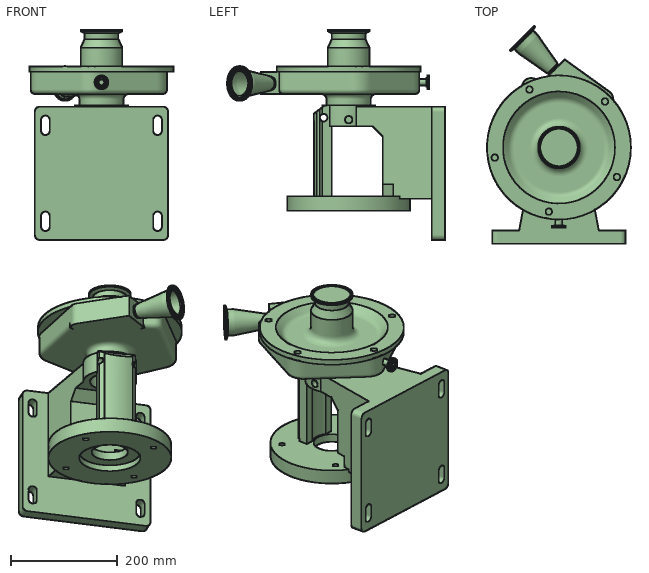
import cadquery as cq
import math


overall_length = 408.5

plate_size = 250.0
plate_outer_y = -180.5
plate_thickness = 25.5
plate_corner_radius = 10.0
slot_width = 16.0
slot_length = 36.0
slot_offset_x = 105.0
slot_offset_z = 90.0
plate_inner_y = plate_outer_y + plate_thickness

hub_radius = 50.0
hub_bottom_z = 212.8
hub_top_z = 252.0
bore_radius = 37.0
hub_hole_radius = 7.0
hub_hole_z = 225.5
leg_tube_radius = 61.0
leg_rib_radius = 65.5
leg_rib_half_width = 27.0
leg_front_y = 31.5
leg_half_width = 35.0
leg_chamfer_run = 20.0
leg_chamfer_drop = 15.5
leg_hole_y = 47.0
leg_hole_z = 229.0

motor_flange_radius = 115.0
motor_flange_bottom_z = 54.7
motor_flange_top_z = 82.5
motor_hole_radius = 34.0
motor_pilot_radius = 57.0
motor_pilot_depth = 12.0
motor_pilot_top_z = motor_flange_bottom_z + motor_pilot_depth
motor_bolt_circle_radius = 93.5
motor_bolt_radius = 5.5
motor_bolt_count = 4
motor_first_bolt_angle = 45.0

web_top_z = plate_size
web_bottom_z = 77.0
web_back_half_width = 74.7
web_front_half_width = 47.8
web_front_y = -14.0
web_window_y = -63.5
web_window_chamfer = 19.0
web_relief_height = 22.0
web_relief_depth = 19.5
web_relief_width = 32.5

body_bottom_z = 273.0
flange_bottom_z = 315.0
flange_top_z = 325.0
flange_diameter = 270.0
body_corner_count = 5
body_first_corner_angle = 45.0
body_side_distance = 114.7
body_corner_radius = 34.0
volute_corner_radius = 16.5
lip_corner_radius = 16.5
lip_extension = 6.5
body_bottom_fillet = 8.5
neck_radius = 41.5
neck_fillet = 9.5
flange_bolt_circle_radius = 121.5
flange_bolt_radius = 6.0

dish_top_radius = 105.0
dish_bottom_radius = 90.0
dish_depth = 15.0
dish_fillet = 14.0
dish_floor_z = flange_top_z - dish_depth
inlet_root_fillet = 15.0

inlet_radius = 39.0
inlet_throat_radius = 32.0
inlet_cone_bottom_z = 360.0
inlet_cone_top_z = 376.0
inlet_collar_bottom_z = 387.0
inlet_rim_bottom_z = 391.0
inlet_top_z = 394.0

discharge_angle = body_first_corner_angle + 90
discharge_offset = 96.0
discharge_z = 293.0
discharge_face_distance = 109.0
block_outer_offset = 124.0
block_inner_offset = 63.3
nozzle_cone_start = 3.5
nozzle_cone_end = 68.0
nozzle_neck_radius = 12.3
nozzle_small_radius = 13.5
nozzle_large_radius = 25.0
nozzle_rim_radius = 32.5
nozzle_rim_thickness = 2.0
nozzle_rim_taper = 2.5
nozzle_wall = 1.5
nozzle_reach_y = plate_outer_y + overall_length
nozzle_side_y = (discharge_offset + nozzle_rim_radius) * math.sin(math.radians(body_first_corner_angle))
nozzle_length = (
    (nozzle_reach_y - nozzle_side_y) / math.sin(math.radians(discharge_angle))
    - discharge_face_distance
)

groove_width = 3.0
groove_depth = 1.2
inlet_groove_radius = 36.5
nozzle_groove_radius = 28.0
drain_groove_radius = 10.2

drain_z = 295.2
drain_tip_y = -150.5
drain_rim_thickness = 3.5
drain_rim_radius = 13.0
drain_stem_radius = 6.5
drain_collar_radius = 8.5
drain_collar_length = 1.5
drain_bore_radius = 5.5
drain_bore_depth = 24.5


def polar(radius, angle):
    """Point in the XY plane from a radius and an angle in degrees."""
    return radius * math.cos(math.radians(angle)), radius * math.sin(math.radians(angle))


def cylinder(radius, bottom_z, top_z):
    """Upright cylinder on the pump axis."""
    return cq.Workplane("XY", origin=(0, 0, bottom_z)).circle(radius).extrude(top_z - bottom_z)


def x_bore(radius, y, z, start_x, end_x):
    """Round cutter along X."""
    return cq.Workplane("YZ", origin=(start_x, y, z)).circle(radius).extrude(end_x - start_x)


def mounting_plate():
    """Square plate with rounded corners and four upright slots."""
    plate = (
        cq.Workplane("XZ", origin=(0, plate_inner_y, plate_size / 2))
        .rect(plate_size, plate_size)
        .extrude(plate_thickness)
        .edges("|Y")
        .fillet(plate_corner_radius)
    )
    slots = (
        cq.Workplane("XZ", origin=(0, plate_inner_y, plate_size / 2))
        .rect(2 * slot_offset_x, 2 * slot_offset_z, forConstruction=True)
        .vertices()
        .slot2D(slot_length, slot_width, 90)
        .extrude(plate_thickness)
    )
    return plate.cut(slots)


def web():
    """Tapered web, cut away in front to open a window under the hub."""
    outline = (
        cq.Workplane("XY", origin=(0, 0, web_bottom_z))
        .polyline([
            (-web_back_half_width, plate_inner_y),
            (web_back_half_width, plate_inner_y),
            (web_front_half_width, web_front_y),
            (-web_front_half_width, web_front_y),
        ])
        .close()
        .extrude(web_top_z - web_bottom_z)
    )
    window = (
        cq.Workplane("YZ")
        .polyline([
            (web_window_y, web_bottom_z),
            (web_window_y, hub_bottom_z - web_window_chamfer),
            (web_window_y + web_window_chamfer, hub_bottom_z),
            (0, hub_bottom_z),
            (0, web_bottom_z),
        ])
        .close()
        .extrude(web_back_half_width, both=True)
    )
    side = web_back_half_width
    outer_y = web_window_y - web_relief_depth
    half_width_at_relief = web_front_half_width + (
        (web_back_half_width - web_front_half_width)
        * (web_front_y - outer_y) / (web_front_y - plate_inner_y)
    )
    relief = (
        cq.Workplane("XY", origin=(0, 0, motor_flange_top_z))
        .polyline([
            (-side, outer_y),
            (-half_width_at_relief, outer_y),
            (-half_width_at_relief + web_relief_width, web_window_y),
            (-side, web_window_y),
        ])
        .close()
        .extrude(web_relief_height)
    )
    return outline.cut(window).cut(relief).cut(relief.mirror("YZ"))


def leg():
    """Rear leg: a slice of the lantern tube with a raised rib along its back."""
    block = (
        cq.Workplane("YZ", origin=(-leg_half_width, 0, 0))
        .polyline([
            (leg_front_y, motor_pilot_top_z),
            (leg_rib_radius, motor_pilot_top_z),
            (leg_rib_radius, hub_top_z - leg_chamfer_drop),
            (leg_rib_radius - leg_chamfer_run, hub_top_z),
            (leg_front_y, hub_top_z),
        ])
        .close()
        .extrude(2 * leg_half_width)
    )
    rib = block.intersect(
        cq.Workplane("XY").rect(2 * leg_rib_half_width, 2 * leg_rib_radius).extrude(hub_top_z)
    )
    rib = rib.intersect(cylinder(leg_rib_radius, 0, hub_top_z))
    return block.intersect(cylinder(leg_tube_radius, 0, hub_top_z)).union(rib)


def motor_flange():
    """Flange with bolt holes, a centre hole and a pilot recess underneath."""
    flange = cylinder(motor_flange_radius, motor_flange_bottom_z, motor_flange_top_z)
    bolt_holes = (
        cq.Workplane("XY", origin=(0, 0, motor_flange_bottom_z))
        .polarArray(motor_bolt_circle_radius, motor_first_bolt_angle, 360, motor_bolt_count)
        .circle(motor_bolt_radius)
        .extrude(motor_flange_top_z - motor_flange_bottom_z)
    )
    pilot = cylinder(motor_pilot_radius, motor_flange_bottom_z, motor_pilot_top_z)
    hole = cylinder(motor_hole_radius, motor_flange_bottom_z, motor_flange_top_z)
    return flange.cut(bolt_holes).cut(hole).cut(pilot)


def lantern():
    """Hub, leg and web bored out together, standing on the motor flange."""
    frame = cylinder(hub_radius, hub_bottom_z, hub_top_z).union(leg()).union(web())
    frame = frame.cut(cylinder(bore_radius, motor_flange_bottom_z, web_top_z))
    frame = frame.cut(x_bore(hub_hole_radius, 0, hub_hole_z, -hub_radius, 0))
    frame = frame.cut(
        x_bore(hub_hole_radius, leg_hole_y, leg_hole_z, -leg_half_width, leg_half_width)
    )
    return frame.union(motor_flange())


def body_corner(index):
    """Sharp corner of the five-sided body, counted counterclockwise."""
    half_sector = math.pi / body_corner_count
    angle = body_first_corner_angle + 360 / body_corner_count * index
    return polar(body_side_distance / math.cos(half_sector), angle)


def lip_corner():
    """Second corner, pushed outward along the side it shares with the third."""
    second = body_corner(1)
    third = body_corner(2)
    side_length = math.dist(second, third)
    return tuple(a + (a - b) * lip_extension / side_length for a, b in zip(second, third))


def round_upright_edge(solid, corner, radius):
    """Fillet the upright edge nearest to a corner given as (x, y)."""
    mid_z = (body_bottom_z + flange_bottom_z) / 2
    return solid.edges(cq.selectors.NearestToPointSelector((*corner, mid_z))).fillet(radius)


def casing_body():
    """Five-sided body with rounded corners, rounded lower edge and a neck below."""
    plain_corners = [body_corner(index) for index in range(2, body_corner_count)]
    body = (
        cq.Workplane("XY", origin=(0, 0, body_bottom_z))
        .polyline([body_corner(0), lip_corner(), *plain_corners])
        .close()
        .extrude(flange_bottom_z - body_bottom_z)
    )
    body = round_upright_edge(body, body_corner(0), volute_corner_radius)
    body = round_upright_edge(body, lip_corner(), lip_corner_radius)
    for corner in plain_corners:
        body = round_upright_edge(body, corner, body_corner_radius)
    body = body.faces("<Z").edges().fillet(body_bottom_fillet)
    neck = (
        cq.Workplane("XZ")
        .moveTo(0, hub_top_z)
        .lineTo(neck_radius, hub_top_z)
        .lineTo(neck_radius, body_bottom_z - neck_fillet)
        .radiusArc((neck_radius + neck_fillet, body_bottom_z), neck_fillet)
        .lineTo(0, body_bottom_z)
        .close()
        .revolve(360, (0, 0), (0, 1))
    )
    return body.union(neck)


def casing_flange():
    """Round top flange with one bolt hole at each body corner."""
    flange = cylinder(flange_diameter / 2, flange_bottom_z, flange_top_z)
    holes = (
        cq.Workplane("XY", origin=(0, 0, flange_bottom_z))
        .polarArray(flange_bolt_circle_radius, body_first_corner_angle, 360, body_corner_count)
        .circle(flange_bolt_radius)
        .extrude(flange_top_z - flange_bottom_z)
    )
    return flange.cut(holes)


def dish():
    """Cutter for the recess, with a conical wall and a rounded floor edge."""
    return (
        cq.Workplane("XZ")
        .moveTo(0, dish_floor_z)
        .lineTo(dish_bottom_radius, dish_floor_z)
        .lineTo(dish_top_radius, flange_top_z)
        .lineTo(0, flange_top_z)
        .close()
        .revolve(360, (0, 0), (0, 1))
        .faces("<Z")
        .edges()
        .fillet(dish_fillet)
    )


def inlet():
    """Closed inlet pipe rising from the recess floor to its clamp rim."""
    return (
        cq.Workplane("XZ")
        .moveTo(0, dish_floor_z)
        .lineTo(inlet_radius + inlet_root_fillet, dish_floor_z)
        .radiusArc((inlet_radius, dish_floor_z + inlet_root_fillet), inlet_root_fillet)
        .lineTo(inlet_radius, inlet_cone_bottom_z)
        .lineTo(inlet_throat_radius, inlet_cone_top_z)
        .lineTo(inlet_throat_radius, inlet_collar_bottom_z)
        .lineTo(inlet_radius, inlet_rim_bottom_z)
        .lineTo(inlet_radius, inlet_top_z)
        .lineTo(0, inlet_top_z)
        .close()
        .revolve(360, (0, 0), (0, 1))
    )


def discharge_block():
    """Volute outlet that widens from the first body corner to the discharge face."""
    plane = cq.Plane(
        origin=(0, 0, body_bottom_z),
        xDir=(*polar(1, body_first_corner_angle), 0),
        normal=(0, 0, 1),
    )
    corner_x = math.hypot(*body_corner(0))
    half_sector = math.pi / body_corner_count
    side_point = (
        corner_x - volute_corner_radius * math.sin(half_sector),
        -volute_corner_radius * math.cos(half_sector),
    )
    block = (
        cq.Workplane(plane)
        .polyline([
            (block_inner_offset, 0),
            side_point,
            (corner_x, 0),
            (block_outer_offset, discharge_face_distance),
            (block_inner_offset, discharge_face_distance),
        ])
        .close()
        .extrude(flange_bottom_z - body_bottom_z)
    )
    return round_upright_edge(block, body_corner(0), volute_corner_radius)


def discharge_plane():
    """Plane on the block face; its normal is the flow direction."""
    across = polar(discharge_offset, body_first_corner_angle)
    along = polar(discharge_face_distance, discharge_angle)
    return cq.Plane(
        origin=(across[0] + along[0], across[1] + along[1], discharge_z),
        xDir=(0, 0, 1),
        normal=(*polar(1, discharge_angle), 0),
    )


def revolve_about_normal(plane, profile):
    """Solid of revolution from (radius, distance) points about the normal of a plane."""
    side_plane = cq.Plane(origin=plane.origin, xDir=plane.xDir, normal=-plane.yDir)
    return cq.Workplane(side_plane).polyline(profile).close().revolve(360, (0, 0), (0, 1))


def nozzle():
    """Conical discharge nozzle with a clamp rim."""
    rim_base = nozzle_length - nozzle_rim_thickness
    return revolve_about_normal(discharge_plane(), [
        (0, 0),
        (nozzle_neck_radius, 0),
        (nozzle_neck_radius, nozzle_cone_start),
        (nozzle_small_radius, nozzle_cone_start),
        (nozzle_large_radius, nozzle_cone_end),
        (nozzle_large_radius, rim_base - nozzle_rim_taper),
        (nozzle_rim_radius, rim_base),
        (nozzle_rim_radius, nozzle_length),
        (0, nozzle_length),
    ])


def nozzle_bore():
    """Cutter that hollows the nozzle as far as the block face."""
    return revolve_about_normal(discharge_plane(), [
        (0, 0),
        (nozzle_neck_radius - nozzle_wall, 0),
        (nozzle_neck_radius - nozzle_wall, nozzle_cone_start),
        (nozzle_large_radius - nozzle_wall, nozzle_cone_end),
        (nozzle_large_radius - nozzle_wall, nozzle_length),
        (0, nozzle_length),
    ])


def drain_cylinder(radius, length):
    """Round stock running from the drain tip back toward the casing."""
    return cq.Workplane("XZ", origin=(0, drain_tip_y, drain_z)).circle(radius).extrude(-length)


def drain():
    """Stem, collar and clamp rim of the drain fitting."""
    stem_length = -drain_tip_y - body_side_distance
    fitting = drain_cylinder(drain_stem_radius, stem_length)
    collar = drain_cylinder(drain_collar_radius, drain_rim_thickness + drain_collar_length)
    rim = drain_cylinder(drain_rim_radius, drain_rim_thickness)
    return fitting.union(collar).union(rim)


def groove(plane, radius):
    """Ring cutter centred on a clamp face, sunk against the plane normal."""
    return (
        cq.Workplane(plane)
        .circle(radius + groove_width / 2)
        .circle(radius - groove_width / 2)
        .extrude(-groove_depth)
    )


discharge = discharge_plane()
nozzle_face = cq.Plane(
    origin=(discharge.origin + discharge.zDir * nozzle_length).toTuple(),
    xDir=discharge.xDir,
    normal=discharge.zDir,
)
clamp_grooves = [
    groove(cq.Plane.XY((0, 0, inlet_top_z)), inlet_groove_radius),
    groove(nozzle_face, nozzle_groove_radius),
    groove(cq.Plane.XZ((0, drain_tip_y, drain_z)), drain_groove_radius),
]

casing = casing_body().union(discharge_block()).union(casing_flange()).cut(dish()).union(inlet())
casing = casing.union(nozzle()).cut(nozzle_bore())
casing = casing.union(drain()).cut(drain_cylinder(drain_bore_radius, drain_bore_depth))
for clamp_groove in clamp_grooves:
    casing = casing.cut(clamp_groove)

result = mounting_plate().union(lantern()).union(casing)